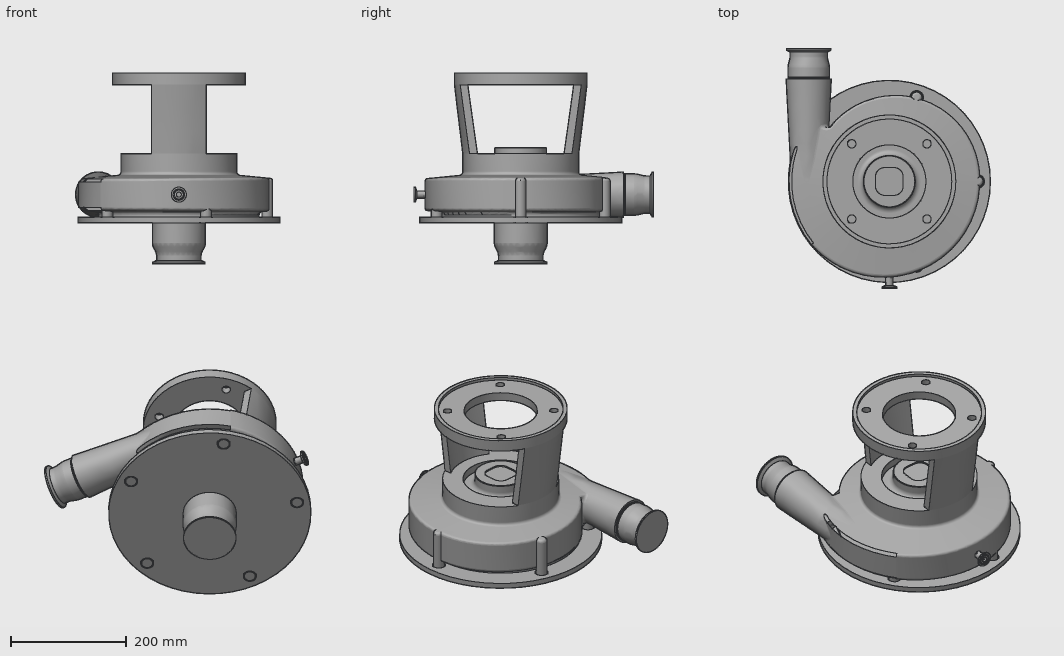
import cadquery as cq
import math


flange_top = 210.5
flange_thickness = 20.5
ring_top = 71.0
boss_top = 81.5
cavity_floor = 57.0
base_top = -39.0
base_thickness = 9.7
suction_end = -120.0

flange_radius = 115.0
flange_bore_radius = 63.3
recess_radius = 108.0
recess_depth = 5.0
bolt_circle_radius = 92.0
bolt_hole_radius = 7.25
bolt_count = 4
bolt_start_angle = 45.0
strut_width = 95.0
strut_thickness = 12.0
ring_radius = 100.5
collar_fillet = 6.0
cavity_radius = 65.0
boss_radius = 45.0
boss_fillet = 10.0
boss_edge_chamfer = 1.0
pad_size = 48.0
pad_corner_radius = 16.0
pad_depth = 2.5

tongue_angle, tongue_radius = 138.0, 139.4
spiral_mid_radius = 152.2
spiral_x_radius = 156.5
spiral_late_radius = 162.3
spiral_end_angle, volute_radius = -141.0, 173.5
round_end_angle = -208.0
tongue_pocket = (-111.0, 93.0)
tongue_end = (-124.0, 103.0)
side_slope = 0.1
side_height = 34.0
volute_fillet = 5.0
lower_collar_radius = 139.0

base_radius = 175.0
post_count = 5
tall_post_count = 2
post_radius = 9.5
post_foot_top = -20.0
post_circle_radius = 152.9
post_clearance_radius = 11.3

discharge_x = -139.5
cone_end = 177.5
cone_end_radius = 39.39
cone_slope = 0.0525
cone_start = -20.0
breakout_fillet = 6.0
weld_groove = (179.3, 180.8)
weld_groove_radius = 34.9
discharge_radius = 36.1
discharge_reducer_start = 196.5
discharge_end = 230.0
discharge_neck_length = 14.0
discharge_neck_radius = 32.6
discharge_flange_radius = 38.75

suction_radius = 46.0
suction_reducer_start = -84.0
suction_neck_length = 14.3
suction_neck_radius = 38.7
suction_flange_radius = 45.5

drain_end = -185.0
drain_radius = 6.5
drain_flange_radius = 13.0
drain_bore_radius = 4.4
drain_bore_depth = 18.0
groove_inner_radius = 7.8
groove_outer_radius = 9.8
groove_depth = 1.0

ferrule_lip = 3.0
ferrule_bevel = 3.3
drain_lip = 2.8
drain_bevel = 2.5


def disc(radius, bottom, top):
    return cq.Workplane("XY").workplane(offset=bottom).circle(radius).extrude(top - bottom)


def polar(radius, angle):
    return (radius * math.cos(math.radians(angle)), radius * math.sin(math.radians(angle)))


def lathe(profile):
    """Revolve a closed (radius, axial) profile about the local vertical axis."""
    return profile.close().revolve(360, (0, 0, 0), (0, 1, 0))


def reducer_pipe(start, radius, reducer_start, neck_length, neck_radius, lip_radius, end):
    """Pipe that narrows in an S-curve to a neck with a clamp ferrule at its end."""
    lip_start = end - ferrule_lip
    neck_start = end - neck_length
    return lathe(
        cq.Workplane("XY")
        .moveTo(0, start)
        .lineTo(radius, start)
        .lineTo(radius, reducer_start)
        .spline([(neck_radius, neck_start)], tangents=[(0, 1), (0, 1)], includeCurrent=True)
        .lineTo(neck_radius, lip_start - ferrule_bevel)
        .lineTo(lip_radius, lip_start)
        .lineTo(lip_radius, end)
        .lineTo(0, end)
    )


def motor_flange():
    flange = disc(flange_radius, flange_top - flange_thickness, flange_top)
    flange = flange.cut(disc(recess_radius, flange_top - recess_depth, flange_top))
    flange = flange.cut(disc(flange_bore_radius, flange_top - flange_thickness, flange_top))
    holes = (
        cq.Workplane("XY")
        .workplane(offset=flange_top - flange_thickness)
        .polarArray(bolt_circle_radius, bolt_start_angle, 360, bolt_count)
        .circle(bolt_hole_radius)
        .extrude(flange_thickness)
    )
    return flange.cut(holes)


def struts():
    """Two conical wall segments, on the +Y and -Y sides."""
    top = flange_top - flange_thickness
    shell = lathe(
        cq.Workplane("XZ")
        .moveTo(ring_radius, ring_top)
        .lineTo(flange_radius, top)
        .lineTo(flange_radius - strut_thickness, top)
        .lineTo(ring_radius - strut_thickness, ring_top)
    )
    height = top - ring_top
    band = cq.Workplane("XY").box(strut_width, 2 * flange_radius, height)
    return shell.intersect(band.translate((0, 0, ring_top + height / 2)))


def side_z(radius):
    return side_height - side_slope * (radius - ring_radius)


def volute_limits():
    """Body of revolution between the two sloping side faces."""
    rim = volute_radius + 2 * post_radius
    return lathe(
        cq.Workplane("XZ")
        .moveTo(0, -side_z(0))
        .lineTo(rim, -side_z(rim))
        .lineTo(rim, side_z(rim))
        .lineTo(0, side_z(0))
    )


def volute_prism():
    """Plan outline of the volute, taller than the volute itself."""
    half = side_z(0)
    late_angle = spiral_end_angle / 2
    round_mid_angle = (spiral_end_angle + round_end_angle) / 2
    return (
        cq.Workplane("XY")
        .workplane(offset=-half)
        .moveTo(*polar(tongue_radius, tongue_angle))
        .threePointArc(polar(spiral_mid_radius, tongue_angle / 2), polar(spiral_x_radius, 0))
        .threePointArc(
            polar(spiral_late_radius, late_angle), polar(volute_radius, spiral_end_angle)
        )
        .threePointArc(
            polar(volute_radius, round_mid_angle), polar(volute_radius, round_end_angle)
        )
        .lineTo(*tongue_end)
        .threePointArc(tongue_pocket, polar(tongue_radius, tongue_angle))
        .close()
        .extrude(2 * half)
    )


def volute():
    """Spiral housing with its discharge cone blended in, and the two posts on its rim."""
    limits = volute_limits()
    body = volute_prism().intersect(limits).faces(">Z or <Z").edges().fillet(volute_fillet)
    body = body.union(discharge_cone())
    breakout = cq.selectors.BoxSelector(
        (discharge_x - cone_end_radius / 2, 0, -2 * side_height),
        (discharge_x + cone_end_radius / 2, cone_end_radius, 2 * side_height),
    )
    body = body.edges(breakout).fillet(breakout_fillet)
    tall_posts = posts(post_foot_top, side_z(0), count=tall_post_count).intersect(limits)
    return body.union(tall_posts.faces(">Z").edges().fillet(volute_fillet))


def posts(bottom, top, radius=post_radius, count=post_count):
    pitch = 360 / post_count
    centres = [polar(post_circle_radius, i * pitch) for i in range(count)]
    return (
        cq.Workplane("XY")
        .workplane(offset=bottom)
        .pushPoints(centres)
        .circle(radius)
        .extrude(top - bottom)
    )


def collar(radius, height):
    """Cylinder that rises from a side face with a concave fillet at its foot."""
    foot_radius = radius + collar_fillet
    seat = side_z(foot_radius)
    return lathe(
        cq.Workplane("XZ")
        .lineTo(foot_radius, 0)
        .lineTo(foot_radius, seat)
        .radiusArc((radius, seat + collar_fillet), collar_fillet)
        .lineTo(radius, height)
        .lineTo(0, height)
    )


def lower_collar():
    """Wide collar that joins the volute to the base plate."""
    lower = collar(lower_collar_radius, -base_top).mirror("XY")
    return lower.intersect(volute_prism()).union(disc(lower_collar_radius, base_top, post_foot_top))


def bearing_cavity():
    """Annular space around the central boss."""
    return lathe(
        cq.Workplane("XZ")
        .moveTo(boss_radius, ring_top)
        .lineTo(boss_radius, cavity_floor + boss_fillet)
        .radiusArc((boss_radius + boss_fillet, cavity_floor), -boss_fillet)
        .lineTo(cavity_radius, cavity_floor)
        .lineTo(cavity_radius, ring_top)
    )


def boss():
    body = disc(boss_radius, cavity_floor, boss_top).faces(">Z").edges().chamfer(boss_edge_chamfer)
    pad = (
        cq.Workplane("XY")
        .workplane(offset=boss_top - pad_depth)
        .rect(pad_size, pad_size)
        .extrude(pad_depth)
        .edges("|Z")
        .fillet(pad_corner_radius)
    )
    return body.cut(pad)


def base_plate():
    bottom = base_top - base_thickness
    plate = disc(base_radius, bottom, base_top)
    return plate.cut(posts(bottom, base_top, post_clearance_radius))


def discharge_cone():
    start_radius = cone_end_radius - cone_slope * (cone_end - cone_start)
    cone = lathe(
        cq.Workplane("XY")
        .moveTo(0, cone_start)
        .lineTo(start_radius, cone_start)
        .lineTo(cone_end_radius, cone_end)
        .lineTo(0, cone_end)
    )
    return cone.translate((discharge_x, 0, 0))


def discharge_pipe():
    pipe = reducer_pipe(
        cone_end,
        discharge_radius,
        discharge_reducer_start,
        discharge_neck_length,
        discharge_neck_radius,
        discharge_flange_radius,
        discharge_end,
    )
    groove_start, groove_stop = weld_groove
    groove = lathe(
        cq.Workplane("XY")
        .moveTo(weld_groove_radius, groove_start)
        .lineTo(cone_end_radius, groove_start)
        .lineTo(cone_end_radius, groove_stop)
        .lineTo(weld_groove_radius, groove_stop)
    )
    return pipe.cut(groove).translate((discharge_x, 0, 0))


def suction_pipe():
    pipe = reducer_pipe(
        -base_top,
        suction_radius,
        -suction_reducer_start,
        suction_neck_length,
        suction_neck_radius,
        suction_flange_radius,
        -suction_end,
    )
    return pipe.rotate((0, 0, 0), (1, 0, 0), -90)


def drain():
    length = -drain_end
    lip_start = length - drain_lip
    fitting = lathe(
        cq.Workplane("XY")
        .moveTo(0, ring_radius)
        .lineTo(drain_radius, ring_radius)
        .lineTo(drain_radius, lip_start - drain_bevel)
        .lineTo(drain_flange_radius, lip_start)
        .lineTo(drain_flange_radius, length)
        .lineTo(groove_outer_radius, length)
        .lineTo(groove_outer_radius, length - groove_depth)
        .lineTo(groove_inner_radius, length - groove_depth)
        .lineTo(groove_inner_radius, length)
        .lineTo(0, length)
    )
    return fitting.rotate((0, 0, 0), (1, 0, 0), 180)


def drain_bore():
    workplane = cq.Workplane("XZ", origin=(0, drain_end, 0))
    return workplane.circle(drain_bore_radius).extrude(-drain_bore_depth)


lower_posts = posts(base_top - base_thickness, post_foot_top)

result = (
    volute()
    .union(collar(ring_radius, ring_top))
    .union(lower_collar())
    .cut(bearing_cavity())
    .union(boss())
    .union(base_plate())
    .union(lower_posts)
    .union(discharge_pipe())
    .union(suction_pipe())
    .union(drain())
    .cut(drain_bore())
    .union(struts())
    .union(motor_flange())
)